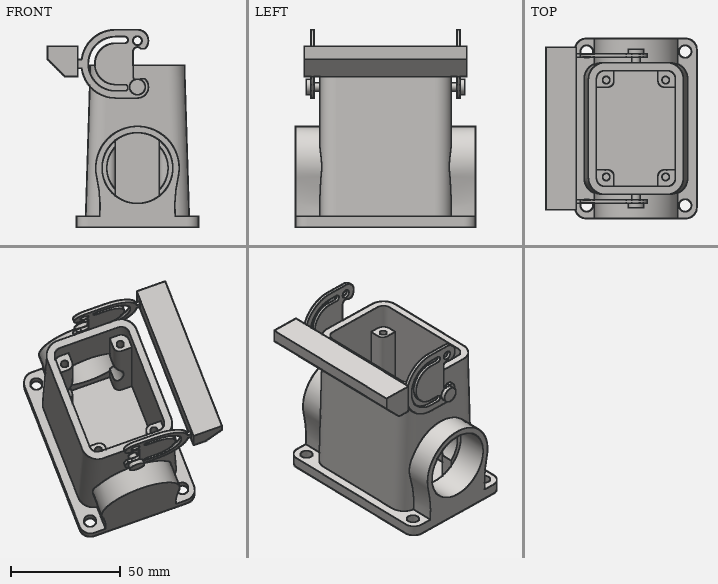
import cadquery as cq
import math

base_length = 55.6
base_width = 82.0
base_thickness = 5.1
base_corner_radius = 5.2
mount_hole_diameter = 5.6
mount_hole_spacing_x = 44.8
mount_hole_spacing_y = 70.0

tower_top = 73.8
collar_height = 5.0
collar_bottom = tower_top - collar_height
collar_length = 43.2
foot_length = 47.2
tower_width = 59.9
tower_corner_radius = 7.5
wall = 3.6
cavity_length = collar_length - 2 * wall
cavity_width = tower_width - 2 * wall
floor_height = base_thickness

post_top = 62.0
post_gap_x = 20.0
post_gap_y = 37.6
post_corner_radius = 3.0
screw_hole_diameter = 3.3
screw_hole_depth = 13.5
screw_spacing_x = 27.0
screw_spacing_y = 44.1

boss_axis_height = 27.0
boss_radius = 19.0
boss_waist_half_width = 17.0
boss_flank_radius = 60.0
entry_radius = 16.1
post_relief_radius = 13.95

pin_height = 63.9
pin_diameter = 4.0
pin_head_diameter = 7.1
pin_head_end = 36.2

plate_inner_face = 32.5
plate_outer_face = 34.0
lever_radius = 15.6
hole_offset = 10.5
lever_axis_height = pin_height + hole_offset
bow_center_x = -10.0
slot_outer_radius = 12.3
slot_inner_radius = 9.45
slot_end_x = -5.8
notch_radius = pin_diameter / 2
notch_offset = 5.6
hook_offset = 6.8
neck_height = 4.1
grip_length = 74.0
grip_size = 13.9
grip_chamfer = 7.9
grip_left = -40.95
grip_top = 82.4


def base_flange():
    return (
        cq.Workplane("XY")
        .rect(base_length, base_width)
        .extrude(base_thickness)
        .edges("|Z")
        .fillet(base_corner_radius)
        .faces(">Z")
        .workplane()
        .rect(mount_hole_spacing_x, mount_hole_spacing_y, forConstruction=True)
        .vertices()
        .hole(mount_hole_diameter)
    )


def tower():
    """Outer tower: flared X sides below a straight collar, with its four corners rounded."""
    slope = (foot_length - collar_length) / 2 / (collar_bottom - base_thickness)
    half_top = collar_length / 2
    half_bottom = half_top + slope * collar_bottom
    return (
        cq.Workplane("XZ", origin=(0, tower_width / 2, 0))
        .moveTo(-half_bottom, 0)
        .lineTo(half_bottom, 0)
        .lineTo(half_top, collar_bottom)
        .lineTo(half_top, tower_top)
        .lineTo(-half_top, tower_top)
        .lineTo(-half_top, collar_bottom)
        .close()
        .extrude(tower_width)
        .edges("(not |Y) and (not |X)")
        .fillet(tower_corner_radius)
    )


def cavity():
    """Straight-walled space from the floor up, before the screw posts are put in."""
    return (
        cq.Workplane("XY", origin=(0, 0, floor_height))
        .rect(cavity_length, cavity_width)
        .extrude(tower_top - floor_height)
        .edges("|Z")
        .fillet(tower_corner_radius - wall)
    )


def entry_bosses():
    """Both round bosses in one bar through the tower; concave flanks narrow it to a waist."""
    flank_center_x = boss_waist_half_width + boss_flank_radius
    flank_angle = math.acos(flank_center_x / (boss_radius + boss_flank_radius))
    flank_center_z = boss_axis_height - flank_center_x * math.tan(flank_angle)
    tangent_x = boss_radius * math.cos(flank_angle)
    tangent_z = boss_axis_height - boss_radius * math.sin(flank_angle)
    foot_x = flank_center_x - math.sqrt(boss_flank_radius**2 - (flank_center_z - base_thickness) ** 2)
    return (
        cq.Workplane("XZ", origin=(0, base_width / 2, 0))
        .moveTo(-foot_x, 0)
        .lineTo(foot_x, 0)
        .lineTo(foot_x, base_thickness)
        .threePointArc((boss_waist_half_width, flank_center_z), (tangent_x, tangent_z))
        .threePointArc((0, boss_axis_height + boss_radius), (-tangent_x, tangent_z))
        .threePointArc((-boss_waist_half_width, flank_center_z), (-foot_x, base_thickness))
        .close()
        .extrude(base_width)
    )


def screw_post(side_x, side_y):
    """Post filling one cavity corner, with its free corner rounded and a blind screw hole."""
    length = (cavity_length - post_gap_x) / 2
    width = (cavity_width - post_gap_y) / 2
    center_x = side_x * (post_gap_x + length) / 2
    center_y = side_y * (post_gap_y + width) / 2
    free_corner = cq.selectors.NearestToPointSelector((0, 0, (floor_height + post_top) / 2))
    post = (
        cq.Workplane("XY", origin=(center_x, center_y, floor_height))
        .rect(length, width)
        .extrude(post_top - floor_height)
        .edges("|Z")
        .edges(free_corner)
        .fillet(post_corner_radius)
    )
    screw_hole = (
        cq.Workplane("XY", origin=(side_x * screw_spacing_x / 2, side_y * screw_spacing_y / 2, post_top))
        .circle(screw_hole_diameter / 2)
        .extrude(-screw_hole_depth)
    )
    return post.cut(screw_hole)


def end_bore(radius, end_y):
    """Cylinder along the boss axis, from the -Y end of the housing to the given Y."""
    start_y = -base_width / 2
    return (
        cq.Workplane("XZ", origin=(0, start_y, boss_axis_height))
        .circle(radius)
        .extrude(start_y - end_y)
    )


def pivot_pin(side):
    """Pin standing on the tower's Y face at the given side (+1 or -1), headed outside the lever."""
    root = tower_width / 2 - wall / 2
    shank = (
        cq.Workplane("XZ", origin=(0, side * root, pin_height))
        .circle(pin_diameter / 2)
        .extrude(-side * (plate_outer_face - root))
    )
    head = (
        cq.Workplane("XZ", origin=(0, side * plate_outer_face, pin_height))
        .circle(pin_head_diameter / 2)
        .extrude(-side * (pin_head_end - plate_outer_face))
    )
    return shank.union(head)


def make_housing():
    body = base_flange().union(entry_bosses()).union(tower()).cut(cavity())
    for side_y in (-1, 1):
        body = body.union(pivot_pin(side_y))
        for side_x in (-1, 1):
            body = body.union(screw_post(side_x, side_y))
    body = body.cut(end_bore(entry_radius, -cavity_width / 2))
    return body.cut(end_bore(post_relief_radius, 0))


def bow_slot():
    """C-shaped slot with round ends, centred on the lever axis."""
    mid_radius = (slot_outer_radius + slot_inner_radius) / 2
    end = slot_end_x - bow_center_x
    end_radius = (slot_outer_radius - slot_inner_radius) / 2
    return (
        cq.Workplane("XZ", origin=(bow_center_x, plate_inner_face, lever_axis_height))
        .moveTo(end, slot_outer_radius)
        .lineTo(0, slot_outer_radius)
        .threePointArc((-slot_outer_radius, 0), (0, -slot_outer_radius))
        .lineTo(end, -slot_outer_radius)
        .threePointArc((end + end_radius, -mid_radius), (end, -slot_inner_radius))
        .lineTo(0, -slot_inner_radius)
        .threePointArc((-slot_inner_radius, 0), (0, slot_inner_radius))
        .lineTo(end, slot_inner_radius)
        .threePointArc((end + end_radius, mid_radius), (end, slot_outer_radius))
        .close()
        .extrude(plate_inner_face - plate_outer_face)
    )


def lever_plate():
    """Side plate on the +Y side, symmetric about the lever axis height."""
    ear_radius = lever_radius - hole_offset
    ear_corner_x = math.sqrt(ear_radius**2 - (hole_offset - hook_offset) ** 2)
    notch_corner_x = math.sqrt(notch_radius**2 - (hook_offset - notch_offset) ** 2)
    notch_top = notch_offset + notch_radius
    plate = (
        cq.Workplane("XZ", origin=(0, plate_inner_face, lever_axis_height))
        .moveTo(bow_center_x, -lever_radius)
        .lineTo(0, -lever_radius)
        .threePointArc((ear_radius, -hole_offset), (ear_corner_x, -hook_offset))
        .lineTo(notch_corner_x, -hook_offset)
        .threePointArc((0, -notch_top), (-notch_radius, -notch_offset))
        .lineTo(-notch_radius, notch_offset)
        .threePointArc((0, notch_top), (notch_corner_x, hook_offset))
        .lineTo(ear_corner_x, hook_offset)
        .threePointArc((ear_radius, hole_offset), (0, lever_radius))
        .lineTo(bow_center_x, lever_radius)
        .threePointArc((bow_center_x - lever_radius, 0), (bow_center_x, -lever_radius))
        .close()
        .pushPoints([(0, hole_offset), (0, -hole_offset)])
        .circle(pin_diameter / 2)
        .extrude(plate_inner_face - plate_outer_face)
    )
    neck_start = grip_left + grip_size / 2
    neck_end = bow_center_x - (lever_radius + slot_outer_radius) / 2
    neck = (
        cq.Workplane("XY", origin=(neck_start, plate_inner_face, lever_axis_height))
        .box(
            neck_end - neck_start,
            plate_outer_face - plate_inner_face,
            neck_height,
            centered=(False, False, True),
        )
    )
    return plate.cut(bow_slot()).union(neck)


def grip_bar():
    right = grip_left + grip_size
    bottom = grip_top - grip_size
    return (
        cq.Workplane("XZ", origin=(0, grip_length / 2, 0))
        .moveTo(grip_left, grip_top)
        .lineTo(right, grip_top)
        .lineTo(right, bottom)
        .lineTo(grip_left + grip_chamfer, bottom)
        .lineTo(grip_left, bottom + grip_chamfer)
        .close()
        .extrude(grip_length)
    )


def make_lever():
    plate = lever_plate()
    return grip_bar().union(plate).union(plate.mirror("XZ"))


housing = make_housing()
lever = make_lever()

result = cq.Compound.makeCompound([housing.solids().val(), lever.solids().val()])